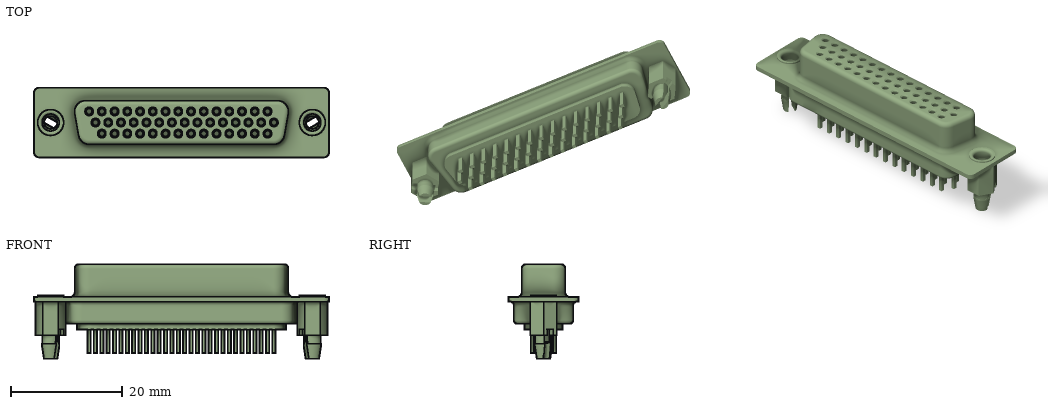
import cadquery as cq
import math

SHELL_TOP = 5.9
FLANGE_BOTTOM = -0.85
REAR_BOTTOM = -4.85
INSULATOR_BOTTOM = -5.9
HEX_BOTTOM = -6.9
PIN_BOTTOM = -10.1
CLIP_BOTTOM = -11.15

FLANGE_LENGTH = 53.05
FLANGE_WIDTH = 12.55
FLANGE_CORNER = 1.0

D_CORNER = 1.95
D_SIDE_ANGLE = 10.0
SHELL_HALF_WIDTH = 3.9
SHELL_HALF_LENGTH = 16.55
REAR_HALF_WIDTH = 5.35
REAR_HALF_LENGTH = 17.95
INSULATOR_HALF_WIDTH = 3.45
INSULATOR_HALF_LENGTH = 16.3
SHELL_ROUND = 0.8
REAR_ROUND = 0.65
SELECT_MARGIN = 0.05

FULL_ROW = 15
ROW_LENGTH = 32.05
COLUMN_PITCH = ROW_LENGTH / (FULL_ROW - 1)
OUTER_ROW_SPACING = 4.0
ROW_PITCH = OUTER_ROW_SPACING / 2
PIN_SIZE = 0.65
SOCKET_MOUTH_RADIUS = 0.75
SOCKET_RADIUS = 0.55
SOCKET_DEPTH = 4.25
CONTACT_ROWS = [(1, 0, FULL_ROW), (0, 0, FULL_ROW), (-1, 1, FULL_ROW - 1)]

STUD_X = 23.5
HEX_CORNER_RADIUS = 2.75
LIP_RADIUS = 2.35
LIP_HEIGHT = 0.25
BORE_RADIUS = 1.55
BORE_MOUTH_ROUND = 0.5
BORE_BOTTOM = -1.6
CORE_RADIUS = 1.15
CORE_BOTTOM = -8.0
DRILL_TIP_ANGLE = 118.0
CLIP_RADIUS = 1.55
BARB_RADIUS = 1.6
BARB_TOP = -8.45
BARB_EDGE = -8.75
CLIP_TIP_RADIUS = 1.2
SLOT_WIDTH = 1.2
SLOT_TOP = -5.8
SLOT_ANGLE = 30.0


def d_prism(half_length, half_width, bottom, top):
    """Prism with a D outline: longer at +Y, sides leaning, all corners rounded."""
    lean = math.radians(D_SIDE_ANGLE)
    short = half_length + D_CORNER * math.tan(math.pi / 4 - lean / 2)
    long = short + 2 * half_width * math.tan(lean)
    outline = [(-long, half_width), (long, half_width), (short, -half_width), (-short, -half_width)]
    prism = cq.Workplane("XY").workplane(offset=bottom).polyline(outline).close().extrude(top - bottom)
    return prism.edges("|Z").fillet(D_CORNER)


def make_flange():
    flange = cq.Workplane("XY").workplane(offset=FLANGE_BOTTOM).rect(FLANGE_LENGTH, FLANGE_WIDTH)
    return flange.extrude(-FLANGE_BOTTOM).edges("|Z").fillet(FLANGE_CORNER)


def round_at_flange(body, half_width, level, radius):
    """Concave round where a D-shaped shell meets the flange face at the given level."""
    reach_x = STUD_X
    reach_y = half_width + SELECT_MARGIN
    foot = cq.selectors.BoxSelector(
        (-reach_x, -reach_y, level - SELECT_MARGIN), (reach_x, reach_y, level + SELECT_MARGIN))
    return body.edges(foot).fillet(radius)


def make_body():
    """Flange with the front shell, the rear shell and the insulator step under it."""
    shell = d_prism(SHELL_HALF_LENGTH, SHELL_HALF_WIDTH, FLANGE_BOTTOM, SHELL_TOP)
    shell = shell.faces(">Z").edges().fillet(SHELL_ROUND)
    rear = d_prism(REAR_HALF_LENGTH, REAR_HALF_WIDTH, REAR_BOTTOM, 0)
    rear = rear.faces("<Z").edges().fillet(REAR_ROUND)
    body = make_flange().union(shell).union(rear)

    body = round_at_flange(body, SHELL_HALF_WIDTH, 0, SHELL_ROUND)
    body = round_at_flange(body, REAR_HALF_WIDTH, FLANGE_BOTTOM, REAR_ROUND)

    insulator = d_prism(INSULATOR_HALF_LENGTH, INSULATOR_HALF_WIDTH, INSULATOR_BOTTOM, FLANGE_BOTTOM)
    return body.union(insulator)


def contact_points():
    """Contact centres; neighbouring rows are shifted by half a column."""
    points = []
    for row, first, count in CONTACT_ROWS:
        shift = COLUMN_PITCH / 4 if row == 0 else -COLUMN_PITCH / 4
        row_start = shift - ROW_LENGTH / 2
        for column in range(first, first + count):
            points.append((row_start + column * COLUMN_PITCH, row * ROW_PITCH))
    return points


def make_pins():
    pins = cq.Workplane("XY").workplane(offset=PIN_BOTTOM).pushPoints(contact_points())
    return pins.rect(PIN_SIZE, PIN_SIZE).extrude(REAR_BOTTOM - PIN_BOTTOM)


def make_sockets():
    """Blind contact holes with a chamfered mouth, as one cutting tool."""
    mouth_bottom = SHELL_TOP - (SOCKET_MOUTH_RADIUS - SOCKET_RADIUS)
    profile = [
        (0, SHELL_TOP), (SOCKET_MOUTH_RADIUS, SHELL_TOP), (SOCKET_RADIUS, mouth_bottom),
        (SOCKET_RADIUS, SHELL_TOP - SOCKET_DEPTH), (0, SHELL_TOP - SOCKET_DEPTH),
    ]
    socket = cq.Workplane("XZ").polyline(profile).close().revolve(360, (0, 0, 0), (0, 1, 0)).val()
    return cq.Workplane("XY").pushPoints(contact_points()).eachpoint(lambda place: socket.moved(place))


def make_bore():
    """Stepped blind bore with a rounded mouth, a 45 degree step and a drill-point end."""
    mouth_radius = BORE_RADIUS + BORE_MOUTH_ROUND
    round_bottom = LIP_HEIGHT - BORE_MOUTH_ROUND
    round_offset = BORE_MOUTH_ROUND * math.sqrt(0.5)
    step_bottom = BORE_BOTTOM - (BORE_RADIUS - CORE_RADIUS)
    tip_depth = CORE_RADIUS / math.tan(math.radians(DRILL_TIP_ANGLE / 2))
    profile = cq.Workplane("XZ").moveTo(0, LIP_HEIGHT).lineTo(mouth_radius, LIP_HEIGHT)
    profile = profile.threePointArc((mouth_radius - round_offset, round_bottom + round_offset),
                                    (BORE_RADIUS, round_bottom))
    profile = profile.lineTo(BORE_RADIUS, BORE_BOTTOM).lineTo(CORE_RADIUS, step_bottom)
    profile = profile.lineTo(CORE_RADIUS, CORE_BOTTOM).lineTo(0, CORE_BOTTOM - tip_depth).close()
    return profile.revolve(360, (0, 0, 0), (0, 1, 0))


def add_stud(body, side):
    """Hexagonal stud with a lip over the flange, a stepped bore and a slotted barbed clip."""
    hexagon = cq.Workplane("XY").workplane(offset=HEX_BOTTOM).polygon(6, 2 * HEX_CORNER_RADIUS)
    stud = hexagon.extrude(FLANGE_BOTTOM - HEX_BOTTOM)
    lip = cq.Workplane("XY").circle(LIP_RADIUS).extrude(LIP_HEIGHT)
    clip_profile = [
        (0, HEX_BOTTOM), (CLIP_RADIUS, HEX_BOTTOM), (CLIP_RADIUS, BARB_TOP), (BARB_RADIUS, BARB_TOP),
        (BARB_RADIUS, BARB_EDGE), (CLIP_TIP_RADIUS, CLIP_BOTTOM), (0, CLIP_BOTTOM),
    ]
    clip = cq.Workplane("XZ").polyline(clip_profile).close().revolve(360, (0, 0, 0), (0, 1, 0))
    stud = stud.union(lip).union(clip)

    slot_length = 2 * HEX_CORNER_RADIUS
    slot = cq.Workplane("XY").workplane(offset=CLIP_BOTTOM).rect(slot_length, SLOT_WIDTH)
    slot = slot.extrude(SLOT_TOP - CLIP_BOTTOM).rotate((0, 0, 0), (0, 0, 1), side * SLOT_ANGLE)
    stud = stud.cut(slot)

    place = (side * STUD_X, 0, 0)
    return body.union(stud.translate(place)).cut(make_bore().translate(place))


result = make_body()
for stud_side in (-1, 1):
    result = add_stud(result, stud_side)
result = result.union(make_pins()).cut(make_sockets())